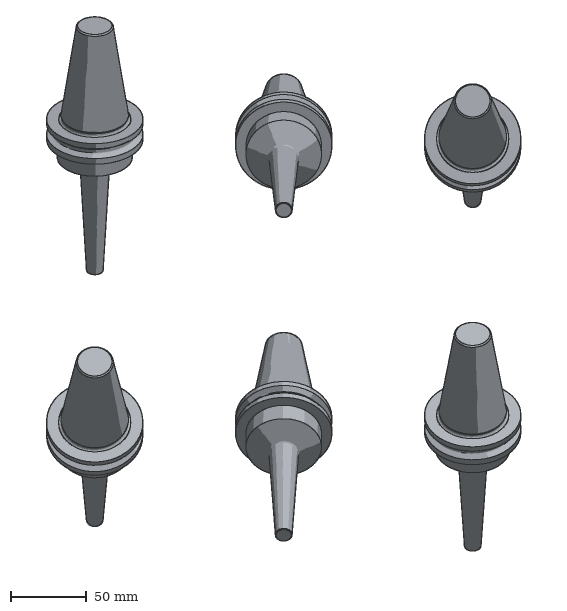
import cadquery as cq
import math

total_length = 188.4

gauge_z = 120.0
gauge_radius = 22.2
taper_ratio = 7 / 24
shank_chamfer = 1.0
shank_top_radius = gauge_radius - (total_length - gauge_z) * taper_ratio / 2

gauge_land = 0.5
neck_radius = 21.7
neck_top_z = 118.3
relief_radius = 23.7
relief_depth = 1.3
relief_fillet = 1.7

flange_radius = 31.75
flange_top_z = 116.8
relief_floor_z = flange_top_z - relief_depth
flange_bottom_z = 101.0
groove_floor_radius = 28.0
groove_top_z = 112.9
groove_floor_top_z = 110.4
groove_floor_bottom_z = 107.2
groove_bottom_z = 105.3
groove_fillet = 0.5

body_radius = 24.9
body_bottom_z = 87.6
shoulder_bottom_z = 80.6
shoulder_bottom_radius = 9.8
shoulder_fillet = 1.7

nose_half_angle = math.radians(3)
tip_chamfer = 0.5
tip_radius = shoulder_bottom_radius - shoulder_bottom_z * math.tan(nose_half_angle)

profile = [
    (0, 0),
    (tip_radius - tip_chamfer, 0),
    (tip_radius, tip_chamfer),
    (shoulder_bottom_radius, shoulder_bottom_z),
    (body_radius, body_bottom_z),
    (body_radius, flange_bottom_z),
    (flange_radius, flange_bottom_z),
    (flange_radius, groove_bottom_z),
    (groove_floor_radius, groove_floor_bottom_z),
    (groove_floor_radius, groove_floor_top_z),
    (flange_radius, groove_top_z),
    (flange_radius, flange_top_z),
    (relief_radius, flange_top_z),
    (relief_radius, relief_floor_z),
    (neck_radius, relief_floor_z),
    (neck_radius, neck_top_z),
    (gauge_radius, gauge_z - gauge_land),
    (gauge_radius, gauge_z),
    (shank_top_radius, total_length - shank_chamfer),
    (shank_top_radius - shank_chamfer, total_length),
    (0, total_length),
]
holder = cq.Workplane("XZ").polyline(profile).close().revolve(360, (0, 0), (0, 1))


def fillet_corner(body, corner_radius, corner_z, fillet_radius):
    """Round the circular edge at the given radius and height."""
    margin = 0.2
    outer = corner_radius + margin
    corner = cq.selectors.BoxSelector(
        (-outer, -outer, corner_z - margin),
        (outer, outer, corner_z + margin),
        boundingbox=True,
    )
    return body.edges(corner).fillet(fillet_radius)


holder = fillet_corner(holder, shoulder_bottom_radius, shoulder_bottom_z, shoulder_fillet)
for floor_corner_z in (groove_floor_bottom_z, groove_floor_top_z):
    holder = fillet_corner(holder, groove_floor_radius, floor_corner_z, groove_fillet)
result = fillet_corner(holder, neck_radius, relief_floor_z, relief_fillet)